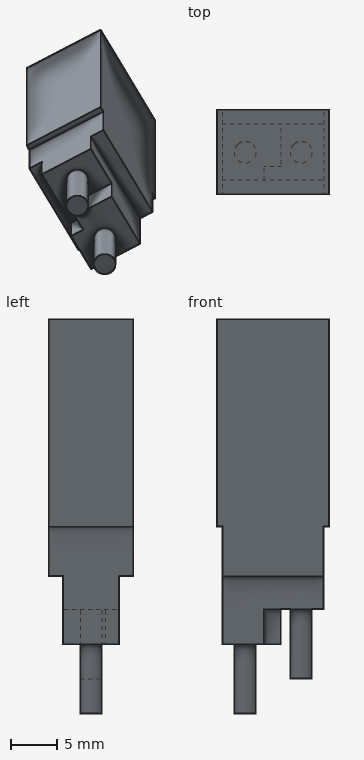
import cadquery as cq

total_height = 42.8
head_width = 12.2
body_depth = 9.2

neck_width = 10.95
foot_depth = 6.08
head_bottom = 20.3
neck_bottom = 14.95
foot_bottom = 11.35
leg_bottom = 7.55

leg_inner_x = -1.03
step_inner_x = 0.85
step_setback = 1.5

pin_diameter = 2.35
pin_offset = 3.05
pin_length = leg_bottom


def block(x_min, x_max, y_min, y_max, z_min, z_max):
    """Box given by its limits along each axis."""
    size = (x_max - x_min, y_max - y_min, z_max - z_min)
    return cq.Workplane("XY").box(*size, centered=False).translate((x_min, y_min, z_min))


def centred_block(width, depth, z_min, z_max):
    """Box centred on the Z axis."""
    return block(-width / 2, width / 2, -depth / 2, depth / 2, z_min, z_max)


def pin(x, top):
    """Round pin hanging down from the given height."""
    return cq.Workplane("XY", origin=(x, 0, top)).circle(pin_diameter / 2).extrude(-pin_length)


head = centred_block(head_width, body_depth, head_bottom, total_height)
neck = centred_block(neck_width, body_depth, neck_bottom, head_bottom)
foot = centred_block(neck_width, foot_depth, foot_bottom, neck_bottom)

foot_front = -foot_depth / 2
foot_back = foot_depth / 2
leg = block(-neck_width / 2, leg_inner_x, foot_front, foot_back, leg_bottom, foot_bottom)
leg_step = block(
    leg_inner_x, step_inner_x, foot_front + step_setback, foot_back, leg_bottom, foot_bottom
)

result = head.union(neck).union(foot).union(leg).union(leg_step)
result = result.union(pin(-pin_offset, leg_bottom))
result = result.union(pin(pin_offset, foot_bottom))